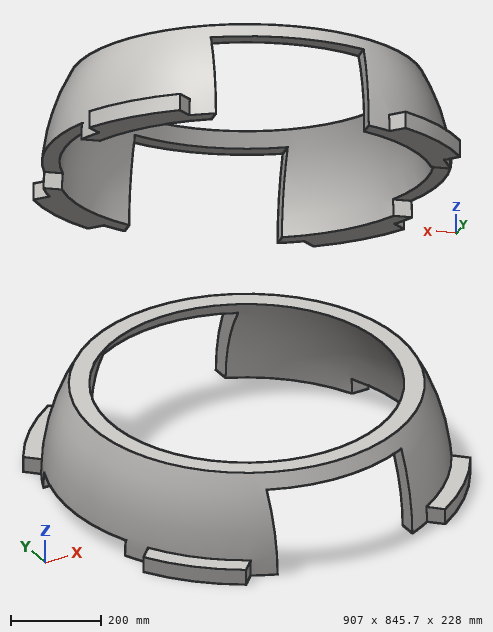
import cadquery as cq
import math

opening_width = 348.0
tall_opening_height = 193.0
low_opening_height = 38.0

overall_length = 907
outer_radius = math.hypot(overall_length / 2, low_opening_height)
inner_radius = 416.0
height = 228.0

foot_radius = 495.0
foot_width = 234.0
foot_height = low_opening_height
foot_angles = (45, 135, 225, 315)

cut_length = 3 * outer_radius


def block(x_size, y_size, z_size):
    """Box centred on the Z axis and standing on the base plane."""
    return cq.Workplane("XY").box(x_size, y_size, z_size, centered=(True, True, False))


def spherical_shell():
    """Dome of even wall thickness, trimmed at the base and top planes."""
    shell = cq.Workplane("XY").sphere(outer_radius).cut(cq.Workplane("XY").sphere(inner_radius))
    return shell.intersect(block(cut_length, cut_length, height))


def foot(angle):
    """Parallel-sided pad with a concentric outer face, rooted halfway into the dome wall."""
    pad = block(foot_radius, foot_width, foot_height).translate((foot_radius / 2, 0, 0))
    outer_limit = cq.Workplane("XY").circle(foot_radius).extrude(foot_height)
    root = cq.Workplane("XY").sphere((inner_radius + outer_radius) / 2)
    pad = pad.intersect(outer_limit).cut(root)
    return pad.rotate((0, 0, 0), (0, 0, 1), angle)


tall_opening = block(opening_width, cut_length, tall_opening_height)
low_opening = block(cut_length, opening_width, low_opening_height)

result = spherical_shell().cut(tall_opening).cut(low_opening)
for angle in foot_angles:
    result = result.union(foot(angle))